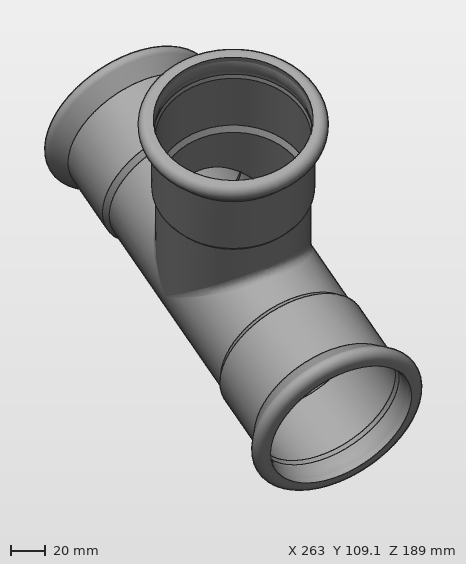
import cadquery as cq
import math

run_length = 263.0
overall_height = 189.0
body_diameter = 89.0
bore_diameter = 85.0
socket_diameter = 93.5
socket_bore_diameter = 89.7
lip_diameter = 91.5
rim_diameter = 109.1
bead_radius = 5.3
cone_start = 8.7
cone_end = 18.0
socket_depth = 60.0
shoulder_depth = 63.6
seal_start = 3.7
seal_end = 13.2
lead_in_start = 15.3

seal_bulge = 0.8
crotch_fillet = 4.7

body_radius = body_diameter / 2
bore_radius = bore_diameter / 2
socket_radius = socket_diameter / 2
socket_bore_radius = socket_bore_diameter / 2
lip_radius = lip_diameter / 2
rim_radius = rim_diameter / 2
run_reach = run_length / 2
branch_reach = overall_height - rim_radius

seal_crest_radius = lip_radius - seal_bulge
seal_middle = (seal_start + seal_end) / 2

bead_center_radius = rim_radius - bead_radius
cone_radius = bead_center_radius + math.sqrt(bead_radius**2 - (cone_start - bead_radius) ** 2)


def revolve_about_z(profile):
    return profile.close().revolve(360, (0, 0, 0), (0, 1, 0))


def outer_arm(reach):
    """Solid outside of one arm, from the tee center up to its rim."""
    def at(radius, depth):
        return radius, reach - depth

    profile = (
        cq.Workplane("XZ")
        .lineTo(body_radius, 0)
        .lineTo(*at(body_radius, shoulder_depth))
        .lineTo(*at(socket_radius, socket_depth))
        .lineTo(*at(socket_radius, cone_end))
        .lineTo(*at(cone_radius, cone_start))
        .threePointArc(at(rim_radius, bead_radius), at(bead_center_radius, 0))
        .lineTo(0, reach)
    )
    return revolve_about_z(profile)


def inner_arm(reach):
    """Hollow of one arm: pipe bore, socket, lead-in cone, swollen seal and entry lip."""
    def at(radius, depth):
        return radius, reach - depth

    profile = (
        cq.Workplane("XZ")
        .lineTo(bore_radius, 0)
        .lineTo(*at(bore_radius, shoulder_depth))
        .lineTo(*at(socket_bore_radius, socket_depth))
        .lineTo(*at(socket_bore_radius, cone_end))
        .lineTo(*at(lip_radius, lead_in_start))
        .lineTo(*at(lip_radius, seal_end))
        .threePointArc(at(seal_crest_radius, seal_middle), at(lip_radius, seal_start))
        .lineTo(*at(lip_radius, 0))
        .lineTo(0, reach)
    )
    return revolve_about_z(profile)


def tee(arm):
    """Join two run arms and the branch arm into one body."""
    run_arm = arm(run_reach).rotate((0, 0, 0), (0, 1, 0), 90)
    run = run_arm.union(run_arm.mirror("YZ"))
    return run.union(arm(branch_reach))


def crotch_edges(body):
    """Edges where the branch meets the run, on the slanted planes x = z and x = -z."""
    band_bottom = 0.1 * body_radius
    band_top = 0.9 * body_radius
    band = cq.selectors.BoxSelector(
        (-body_radius, -body_radius, band_bottom),
        (body_radius, body_radius, band_top),
    )
    return body.edges(band)


outside = crotch_edges(tee(outer_arm).clean()).fillet(crotch_fillet)
result = outside.cut(tee(inner_arm))